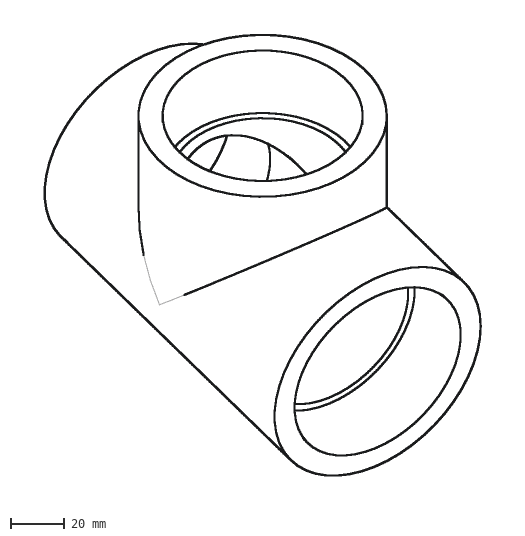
import cadquery as cq

run_length = 154.5
outer_diameter = 93.0
bore_diameter = 69.0
socket_diameter = 75.0
socket_depth = 30.9
branch_height = 71.0

half_run = run_length / 2


def cylinder_along_x(diameter, start, length):
    """Cylinder on the run axis, beginning at X = start."""
    return cq.Workplane("YZ", origin=(start, 0, 0)).circle(diameter / 2).extrude(length)


def cylinder_along_z(diameter, start, length):
    """Cylinder on the branch axis, beginning at Z = start."""
    return cq.Workplane("XY", origin=(0, 0, start)).circle(diameter / 2).extrude(length)


run_body = cylinder_along_x(outer_diameter, -half_run, run_length)
branch_body = cylinder_along_z(outer_diameter, 0, branch_height)
body = run_body.union(branch_body)

run_bore = cylinder_along_x(bore_diameter, -half_run, run_length)
branch_bore = cylinder_along_z(bore_diameter, 0, branch_height)
body = body.cut(run_bore.union(branch_bore))

for socket_start in (-half_run, half_run - socket_depth):
    body = body.cut(cylinder_along_x(socket_diameter, socket_start, socket_depth))
body = body.cut(cylinder_along_z(socket_diameter, branch_height - socket_depth, socket_depth))

result = body